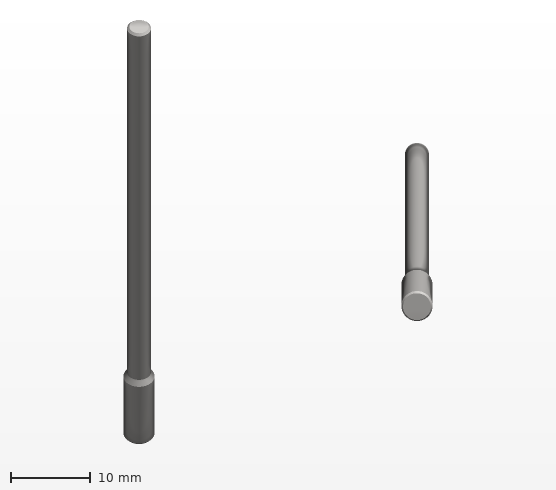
import cadquery as cq

total_length = 70.0

tip_diameter = 3.9
tip_length = 10.8
shoulder_height = 0.8
foot_chamfer_height = 0.3
foot_chamfer_width = 0.2

rod_diameter = 3.0
rod_length = total_length - tip_length
rod_chamfer_height = 0.3
rod_chamfer_width = 0.3


def make_tip():
    """Round tip with a chamfered foot and a shoulder tapering up to the rod diameter."""
    radius = tip_diameter / 2
    profile = (
        cq.Workplane("XZ")
        .lineTo(radius - foot_chamfer_width, 0)
        .lineTo(radius, foot_chamfer_height)
        .lineTo(radius, tip_length - shoulder_height)
        .lineTo(rod_diameter / 2, tip_length)
        .lineTo(0, tip_length)
        .close()
    )
    return profile.revolve(360, (0, 0, 0), (0, 1, 0))


def make_rod():
    """Straight round rod with a chamfered free end."""
    radius = rod_diameter / 2
    profile = (
        cq.Workplane("XZ", origin=(0, 0, tip_length))
        .lineTo(radius, 0)
        .lineTo(radius, rod_length - rod_chamfer_height)
        .lineTo(radius - rod_chamfer_width, rod_length)
        .lineTo(0, rod_length)
        .close()
    )
    return profile.revolve(360, (0, 0, 0), (0, 1, 0))


tip = make_tip()
rod = make_rod()

result = cq.Compound.makeCompound([tip.val(), rod.val()])